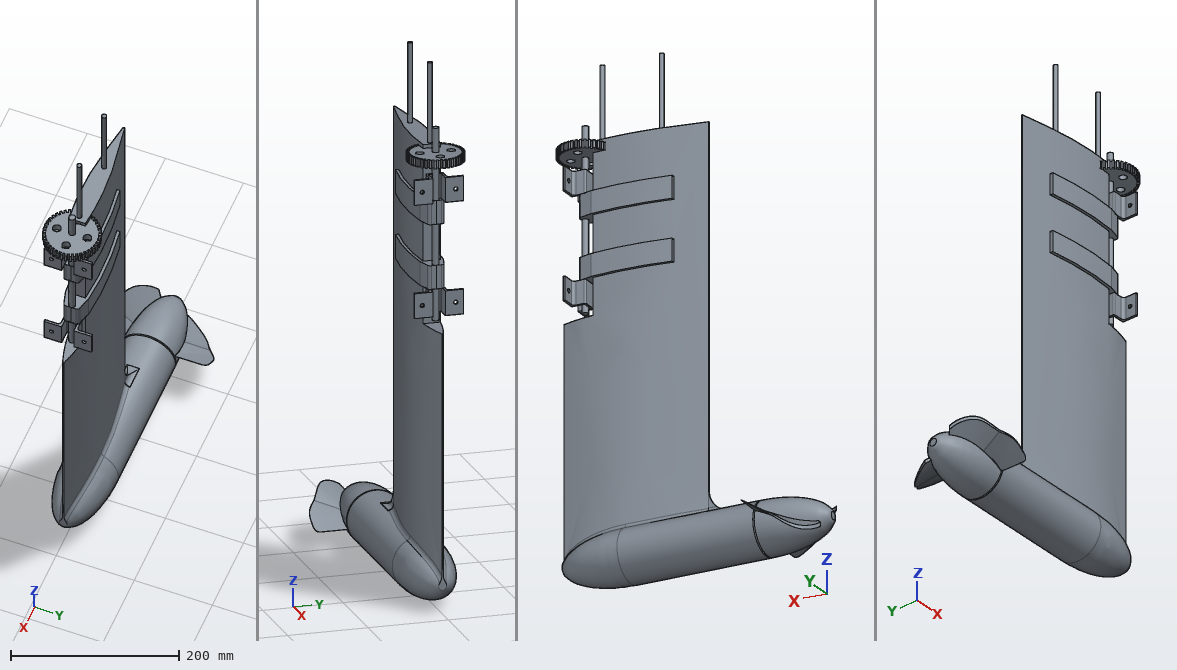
import cadquery as cq
import math


pod_diameter = 70.0
pod_radius = pod_diameter / 2
tip_radius = 5.05
pod_straight = 182.0
tail_length = 89.0
pod_length = pod_straight + tail_length
hub_gap = 2.0
hub_length = 88.0

blade_count = 2
blade_bend_thickness = 3.0
blade_leading_thickness = 5.5
blade_root_y = 7.0
blade_end_y = 78.0
blade_tip_y = 74.6
blade_tip_x = -19.5
blade_corner_y = 67.0
blade_edge_points = [(-43.0, -63.0), (-63.5, -50.0), (-77.5, -32.0), (-82.5, -19.0)]
blade_foot_x = -61.0
blade_trailing_x = -hub_gap
blade_trailing_z = -11.5
blade_bend_x = -27.0
blade_bend_sweep = -0.25
blade_bend_rise = 0.38
blade_leading_x = -83.0
blade_leading_z = 0.0
blade_leading_rise = 0.75

fin_top = 540.0
fin_front = 77.0
fin_rear = pod_length
fin_edge_half = 1.0
fin_side_points = [(111.5, 7.0), (152.0, 11.8), (189.0, 13.15), (227.5, 11.0)]
notch_front = 227.5
notch_floor = 316.0
root_fillet = 7.0
gusset_radius = 30.0
rod_diameter = 6.0
rod_height = 100.0
rod_positions = [140.5, 220.0]

shaft_x = 243.0
shaft_diameter = 8.0
shaft_bottom = 325.0
shaft_top = 566.0

strap_height = 30.0
strap_front = 120.0
strap_thickness = 4.0
strap_bottoms = [364.5, 445.5]
strap_front_half_width = 12.0
lug_half_width = 9.5
lug_round = 4.0

pulley_diameter = 70.0
pulley_bottom = 525.0
pulley_height = 10.0
tooth_count = 40
tooth_depth = 3.5
pulley_hole_diameter = 10.0
pulley_hole_count = 4
pulley_hole_radius = 19.5

bracket_height = 31.0
bracket_bottoms = [strap_bottoms[0] - bracket_height, strap_bottoms[1] + strap_height]
bracket_thickness = 3.0
bracket_front = shaft_x - 6.0
bracket_rear = shaft_x + 14.0
bracket_half_web = 11.0
bracket_half_span = 30.5
bracket_bend = 4.0
bracket_corner = 2.0
bracket_hole_diameter = 5.0
bracket_hole_y = 21.0


def half_ellipsoid(length):
    """Solid dome along +X on the pod radius, cut off flat at the tip radius."""
    steps = 8
    last_angle = math.acos(tip_radius / pod_radius)
    stretch = length / math.sin(last_angle)
    angles = [last_angle * i / steps for i in range(1, steps + 1)]
    points = [(stretch * math.sin(a), pod_radius * math.cos(a)) for a in angles]
    return (
        cq.Workplane("XY")
        .moveTo(0, 0)
        .lineTo(0, pod_radius)
        .spline(points, tangents=[(1, 0), (math.cos(last_angle), -math.sin(last_angle))], includeCurrent=True)
        .lineTo(length, 0)
        .close()
        .revolve(360, (0, 0, 0), (1, 0, 0))
    )


def blade_section(span):
    """Closed XZ profile of the twisted blade at a distance from the pod axis."""
    leading_z = blade_leading_z + blade_leading_rise * span
    bend_x = blade_bend_x + blade_bend_sweep * span
    bend_z = blade_trailing_z + blade_bend_rise * span
    points = [
        (blade_trailing_x, blade_trailing_z),
        (bend_x, bend_z),
        (blade_leading_x, leading_z),
        (blade_leading_x, leading_z + blade_leading_thickness),
        (bend_x, bend_z + blade_bend_thickness),
    ]
    plane = cq.Plane(origin=(0, -span, 0), xDir=(1, 0, 0), normal=(0, -1, 0))
    return cq.Workplane(plane).polyline(points).close().val()


def make_blade():
    """Twisted blade towards -Y, trimmed to its rounded outline."""
    sheet = cq.Workplane(cq.Solid.makeLoft([blade_section(blade_root_y), blade_section(blade_end_y)], True))
    outline = (
        cq.Workplane("XY", origin=(0, 0, -pod_diameter))
        .moveTo(blade_trailing_x, 0)
        .lineTo(blade_trailing_x, -blade_corner_y)
        .spline([(blade_tip_x, -blade_tip_y)], tangents=[(0, -1), (-1, 0)], includeCurrent=True)
        .spline(blade_edge_points, tangents=[(-1, 0), (-0.2, 1)], includeCurrent=True)
        .lineTo(blade_foot_x, 0)
        .close()
        .extrude(2 * pod_diameter)
    )
    return sheet.intersect(outline)


def make_propeller():
    """Pointed hub with its blades, one solid."""
    propeller = half_ellipsoid(hub_length).rotate((0, 0, 0), (0, 0, 1), 180).translate((-hub_gap, 0, 0))
    blade = make_blade()
    for i in range(blade_count):
        propeller = propeller.union(blade.rotate((0, 0, 0), (1, 0, 0), i * 360 / blade_count))
    return propeller


def fin_outline(bottom):
    """Airfoil of the fin on the horizontal plane at the given height."""
    side = fin_side_points + [(fin_rear, fin_edge_half)]
    other_side = [(x, -y) for x, y in reversed(fin_side_points)] + [(fin_front, -fin_edge_half)]
    return (
        cq.Workplane("XY", origin=(0, 0, bottom))
        .moveTo(fin_front, fin_edge_half)
        .spline(side, includeCurrent=True)
        .lineTo(fin_rear, -fin_edge_half)
        .spline(other_side, includeCurrent=True)
        .close()
    )


def make_pod():
    """Round pod with a domed tail."""
    pod = cq.Workplane("YZ").circle(pod_radius).extrude(pod_straight)
    return pod.union(half_ellipsoid(tail_length).translate((pod_straight, 0, 0)))


def is_fin_root(edge):
    """True for the edges along which the fin meets the top of the pod."""
    box = edge.BoundingBox()
    beside_fin = edge.geomType() == "BSPLINE" and box.zmax < fin_top
    at_front = edge.geomType() == "CIRCLE" and abs(edge.Center().x - fin_front) < fin_edge_half
    return beside_fin or at_front


def make_pod_with_fin():
    """Pod and full-height fin, joined by a root fillet."""
    body = make_pod().union(fin_outline(0).extrude(fin_top))
    root_edges = [edge for edge in body.edges().vals() if is_fin_root(edge)]
    return body.newObject(root_edges).fillet(root_fillet)


def make_gusset():
    """Concave fairing that leads from the top of the pod up to the fin's front edge."""
    toe = fin_front - gusset_radius
    heel = pod_radius + gusset_radius
    middle = gusset_radius * (1 - math.sqrt(0.5))
    side = (
        cq.Workplane("XZ")
        .moveTo(toe, pod_radius)
        .threePointArc((fin_front - middle, pod_radius + middle), (fin_front, heel))
        .lineTo(fin_front, 0)
        .lineTo(toe, 0)
        .close()
        .extrude(root_fillet + fin_edge_half, both=True)
    )
    foot = fin_edge_half + root_fillet
    bend_y = foot - root_fillet * math.sqrt(0.5)
    bend_z = pod_radius + root_fillet * (1 - math.sqrt(0.5))
    end = (
        cq.Workplane("YZ", origin=(toe, 0, 0))
        .moveTo(-foot, 0)
        .lineTo(-foot, pod_radius)
        .threePointArc((-bend_y, bend_z), (-fin_edge_half, pod_radius + root_fillet))
        .lineTo(-fin_edge_half, heel)
        .lineTo(fin_edge_half, heel)
        .lineTo(fin_edge_half, pod_radius + root_fillet)
        .threePointArc((bend_y, bend_z), (foot, pod_radius))
        .lineTo(foot, 0)
        .close()
        .extrude(gusset_radius)
    )
    return side.intersect(end)


def make_strap():
    """Band around the fin that closes behind it into a lug for the shaft."""
    lug_rear = shaft_x + lug_round
    side = [(x, y + strap_thickness) for x, y in fin_side_points]
    side[0] = (strap_front, strap_front_half_width)
    other_side = [(x, -y) for x, y in reversed(side)]
    band = (
        cq.Workplane("XY")
        .spline(side)
        .lineTo(lug_rear, lug_half_width)
        .lineTo(lug_rear, -lug_half_width)
        .lineTo(*other_side[0])
        .spline(other_side[1:], includeCurrent=True)
        .close()
        .extrude(strap_height)
    )
    return band.edges("|Z and >X").fillet(lug_round)


def vertical_cylinder(x, y, diameter, bottom, top):
    """Round bar or bore cutter along Z at the given place."""
    return cq.Workplane("XY", origin=(x, y, bottom)).circle(diameter / 2).extrude(top - bottom)


def make_rudder():
    """Pod, fin, straps and rods as one solid, recessed for the pulley and bored for the shaft."""
    rudder = make_pod_with_fin().union(make_gusset())
    notch = (
        cq.Workplane("XY")
        .box(fin_rear, pod_diameter, fin_top, centered=(False, True, False))
        .translate((notch_front, 0, notch_floor))
    )
    rudder = rudder.cut(notch)
    pulley_top = pulley_bottom + pulley_height
    rudder = rudder.cut(vertical_cylinder(shaft_x, 0, pulley_diameter, pulley_bottom, pulley_top))
    for bottom in strap_bottoms:
        rudder = rudder.union(make_strap().translate((0, 0, bottom)))
    rudder = rudder.cut(vertical_cylinder(shaft_x, 0, shaft_diameter, shaft_bottom, shaft_top))
    for x in rod_positions:
        rudder = rudder.union(vertical_cylinder(x, 0, rod_diameter, fin_top, fin_top + rod_height))
    return rudder


def make_toothed_disc():
    """Toothed disc, standing on the XY plane around the Z axis."""
    pitch = 360 / tooth_count
    tip = pulley_diameter / 2
    root = tip - tooth_depth
    points = []
    for i in range(tooth_count):
        for radius, quarter_pitches in [(root, -3), (root, -1), (tip, -1), (tip, 1)]:
            angle = math.radians((i + quarter_pitches / 4) * pitch)
            points.append((radius * math.cos(angle), radius * math.sin(angle)))
    return cq.Workplane("XY").polyline(points).close().extrude(pulley_height)


def make_pulley():
    """Toothed disc with a circle of holes."""
    holes = (
        cq.Workplane("XY")
        .polarArray(pulley_hole_radius, 0, 360, pulley_hole_count)
        .circle(pulley_hole_diameter / 2)
        .extrude(pulley_height)
    )
    return make_toothed_disc().cut(holes)


def make_bracket():
    """Hat section folded around the shaft, with a bolted flange on each side."""
    inner_web = bracket_half_web - bracket_thickness
    flange_front = bracket_rear - bracket_thickness
    half_outline = [
        (bracket_front, bracket_half_web),
        (flange_front, bracket_half_web),
        (flange_front, bracket_half_span),
        (bracket_rear, bracket_half_span),
        (bracket_rear, inner_web),
        (bracket_front + bracket_thickness, inner_web),
    ]
    outline = half_outline + [(x, -y) for x, y in reversed(half_outline)]
    bracket = cq.Workplane("XY").polyline(outline).close().extrude(bracket_height)
    bracket = bracket.edges("|Z and <X").fillet(bracket_corner)
    for y in (-bracket_half_web, bracket_half_web):
        bend = cq.selectors.NearestToPointSelector((flange_front, y, bracket_height / 2))
        bracket = bracket.edges(bend).fillet(bracket_bend)
    holes = (
        cq.Workplane("YZ", origin=(flange_front, 0, bracket_height / 2))
        .pushPoints([(-bracket_hole_y, 0), (bracket_hole_y, 0)])
        .circle(bracket_hole_diameter / 2)
        .extrude(bracket_thickness)
    )
    return bracket.cut(holes)


def make_steering_shaft():
    """Shaft with its pulley and brackets as one solid."""
    shaft = vertical_cylinder(shaft_x, 0, shaft_diameter, shaft_bottom, shaft_top)
    shaft = shaft.union(make_pulley().translate((shaft_x, 0, pulley_bottom)))
    for bottom in bracket_bottoms:
        shaft = shaft.union(make_bracket().translate((0, 0, bottom)))
    return shaft


propeller = make_propeller()
rudder = make_rudder()
steering_shaft = make_steering_shaft()
result = cq.Compound.makeCompound([propeller.val(), rudder.val(), steering_shaft.val()])